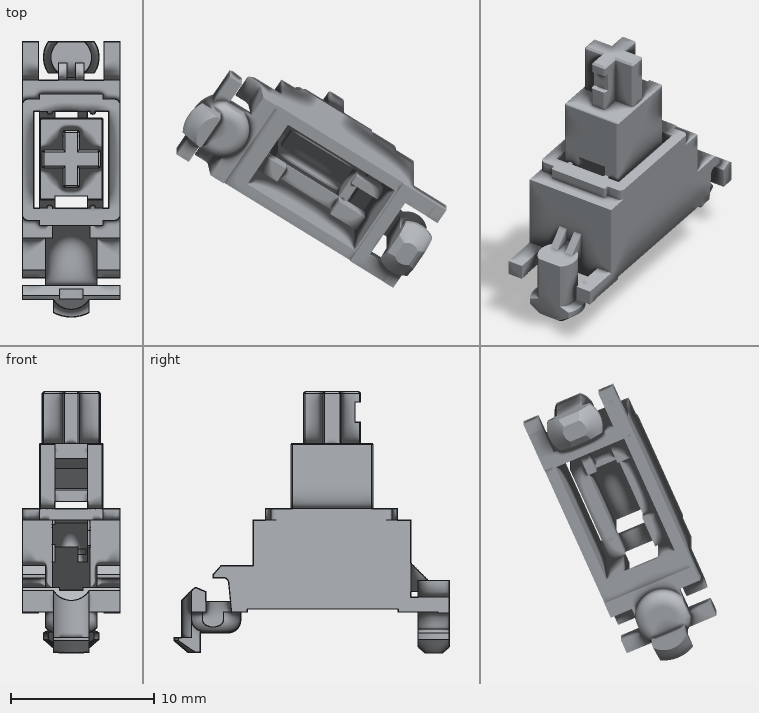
import cadquery as cq


HOUSING_HALF_WIDTH = 3.4
BODY_HALF_LENGTH = 5.5
BODY_TOP = 6.4
RIM_TOP = 7.2
BASE_RECESS = 0.2
RECESS_REAR = 4.6
RECESS_FRONT = -5.9

RIM_CENTER_Y = -0.05
RIM_HALF_LENGTH = 4.6
RIM_SHOULDER_Y = 4.22
RIM_TONGUE_HALF_WIDTH = 2.23
RIM_CORNER_RADIUS = 0.37
RIM_TONGUE_RADIUS = 0.12
OPENING_HALF_WIDTH = 2.6
OPENING_HALF_LENGTH = 3.37
NUB_RADIUS = 0.2
NUB_X = 1.49

CAVITY_HALF_LENGTH = 4.45
CAVITY_TOP = 5.9
FRONT_SLOT_HALF_WIDTH = 1.31

CLIP_INNER_X = 1.8
CLIP_TOP = 3.23
CLIP_TIP_Y = -8.28
CLIP_BEVEL_Y = -7.74
CLIP_TIP_TOP = 2.62
CLIP_UNDERSIDE = 2.38
CLIP_FILLET_OUTER_Y = -7.5
CLIP_FILLET_MIDDLE = (-7.29, 2.25)
CLIP_NECK = (-7.21, 2.02)
CLIP_FOOT_Y = -7.0

TONGUE_HALF_WIDTH = 1.8
TONGUE_TOP = 0.74
BAR_REAR_Y = -8.8
BAR_FRONT_Y = -9.8
BAR_FRONT_TOP = 1.5
BAR_REAR_TOP = 1.42
BAR_PEAK_Y = -9.52
BAR_PEAK_TOP = 1.72
BAR_NOTCH_HALF_WIDTH = 0.83
BAR_NOTCH_REAR_Y = -9.07
BAR_NOTCH_FRONT_Y = -9.75

PIN_HEAD_DIAMETER = 3.88
PIN_SHANK_DIAMETER = 2.83
PIN_CENTER_Y = 7.09
PIN_HALF_LENGTH = 1.1
PIN_TOP = 2.2
PIN_BOTTOM = -2.87
PIN_FLARE_TOP = -1.2
PIN_HEAD_TOP = -1.45
PIN_HEAD_BOTTOM = -1.9
PIN_TIP_DIAMETER = 1.64
PIN_TIP_HALF_LENGTH = 0.58
PIN_TIP_BEVEL_HEIGHT = 0.45
PIN_END_Y = PIN_CENTER_Y + PIN_HALF_LENGTH

PUCK_CENTER_Y = -8.3
PUCK_DIAMETER = 3.88
PUCK_BOTTOM = -1.46
PUCK_EDGE_RADIUS = 0.9

POST_HALF_WIDTH = 1.25
POST_REAR_Y = -9.17
POST_FRONT_Y = -10.48
POST_FRONT_RADIUS = 1.5
POST_FRONT_TOP = 0.81
POST_BOTTOM = -2.82
BARB_TIP_Y = -11.02
BARB_RADIUS = 2.6
BARB_TOP = -1.78
BARB_EDGE_BOTTOM = -2.0
BARB_FOOT_Y = -10.05

TAB_INNER_X = 2.28
TAB_TOP = 1.04
TAB_PAD_Y = 7.4
TAB_PAD_HEIGHT = 0.06

RIB_INNER_X = 0.31
RIB_OUTER_X = 0.9
RIB_BOTTOM = 1.42
RIB_RISE = 1.2
WEB_FILLET = 0.2

STEM_HALF_WIDTH = 2.23
STEM_HALF_LENGTH = 2.86
STEM_TOP = 11.76
STEM_BOTTOM = 4.54
STEM_EDGE = 0.1
STEM_TOP_EDGE = 0.07
WINDOW_HALF_WIDTH = 1.15
WINDOW_TOP = 10.7
FACE_SETBACK = 0.27
STEM_REAR_WALL_Y = 2.2
UPPER_BAR_BOTTOM = 7.69
UPPER_BAR_TOP = 8.62
RAMP_START_Y = 1.2
RAMP_TOP = 10.0
LOWER_BAR_FRONT_TOP = 6.21
LOWER_BAR_REAR_TOP = 6.5

CROSS_SPAN_X = 4.05
CROSS_SPAN_Y = 4.0
CROSS_X_ARM_THICKNESS = 1.28
CROSS_Y_ARM_THICKNESS = 1.14
CROSS_TOP = 15.38
CROSS_EDGE = 0.14
CROSS_SIDE_EDGE = 0.1
CROSS_NOTCH_BOTTOM = 13.23
CROSS_NOTCH_TOP = 14.63
CROSS_NOTCH_DEPTH = 0.39

FOOT_REACH_Y = 4.37
FOOT_INNER_X = 1.12
LOW_FOOT_BOTTOM = 3.47
LOW_FOOT_TOP = 4.69
HIGH_FOOT_BOTTOM = 4.65
HIGH_FOOT_TOP = 5.7
SMALL_FOOT_INNER_X = 0.46
SMALL_FOOT_POCKET_X = 1.04
SMALL_FOOT_POCKET_BOTTOM = 4.02
SMALL_FOOT_POCKET_TOP = 4.38
SMALL_FOOT_POCKET_DEPTH = 0.2
LEG_RELIEF_X = -1.4
LEG_RELIEF_TOP = 6.09


def block(x0, x1, y0, y1, z0, z1):
    """A box between two opposite corners."""
    return cq.Workplane("XY").box(x1 - x0, y1 - y0, z1 - z0, centered=False).translate((x0, y0, z0))


def side_plate(points, x0, x1):
    """A (Y, Z) outline extruded from x0 to x1."""
    return cq.Workplane("YZ").polyline(points).close().extrude(x1 - x0).translate((x0, 0, 0))


def mirrored_x(shape):
    """A shape joined with its mirror image on the other side of X = 0."""
    return shape.union(shape.mirror("YZ"))


def make_rim():
    """Guide collar on top of the body, with a longer middle part at each end."""
    height = RIM_TOP - BODY_TOP
    wide = (
        cq.Workplane("XY")
        .rect(2 * HOUSING_HALF_WIDTH, 2 * RIM_SHOULDER_Y)
        .extrude(height)
        .edges("|Z")
        .fillet(RIM_CORNER_RADIUS)
    )
    long = (
        cq.Workplane("XY")
        .rect(2 * RIM_TONGUE_HALF_WIDTH, 2 * RIM_HALF_LENGTH)
        .extrude(height)
        .edges("|Z")
        .fillet(RIM_TONGUE_RADIUS)
    )
    return wide.union(long).translate((0, RIM_CENTER_Y, BODY_TOP))


def make_body():
    """Hollow body, its collar, the guide opening and the open slot in the front wall."""
    body = block(
        -HOUSING_HALF_WIDTH, HOUSING_HALF_WIDTH, -BODY_HALF_LENGTH, BODY_HALF_LENGTH, BASE_RECESS, BODY_TOP
    )
    rear_foot = block(
        -HOUSING_HALF_WIDTH, HOUSING_HALF_WIDTH, RECESS_REAR, BODY_HALF_LENGTH, 0, BASE_RECESS
    )
    body = body.union(rear_foot).union(make_rim())
    opening = block(
        -OPENING_HALF_WIDTH, OPENING_HALF_WIDTH, -OPENING_HALF_LENGTH, OPENING_HALF_LENGTH, 0, RIM_TOP
    ).translate((0, RIM_CENTER_Y, 0))
    cavity = block(
        -OPENING_HALF_WIDTH, OPENING_HALF_WIDTH, -CAVITY_HALF_LENGTH, CAVITY_HALF_LENGTH, 0, CAVITY_TOP
    )
    slot = block(
        -FRONT_SLOT_HALF_WIDTH, FRONT_SLOT_HALF_WIDTH, -BODY_HALF_LENGTH, -OPENING_HALF_LENGTH, 0, BODY_TOP
    )
    body = body.cut(opening).cut(cavity).cut(slot)
    nubs = (
        cq.Workplane("XY", origin=(0, RIM_CENTER_Y, BODY_TOP))
        .rect(2 * NUB_X, 2 * OPENING_HALF_LENGTH, forConstruction=True)
        .vertices()
        .circle(NUB_RADIUS)
        .extrude(RIM_TOP - BODY_TOP)
    )
    return body.union(nubs)


def make_front_clips():
    """Two hooks that reach forward from the front wall."""
    hook = (
        cq.Workplane("YZ")
        .moveTo(-BODY_HALF_LENGTH, CLIP_TOP)
        .lineTo(CLIP_BEVEL_Y, CLIP_TOP)
        .lineTo(CLIP_TIP_Y, CLIP_TIP_TOP)
        .lineTo(CLIP_TIP_Y, CLIP_UNDERSIDE)
        .lineTo(CLIP_FILLET_OUTER_Y, CLIP_UNDERSIDE)
        .threePointArc(CLIP_FILLET_MIDDLE, CLIP_NECK)
        .lineTo(CLIP_FOOT_Y, 0)
        .lineTo(RECESS_FRONT, 0)
        .lineTo(RECESS_FRONT, BASE_RECESS)
        .lineTo(-BODY_HALF_LENGTH, BASE_RECESS)
        .close()
        .extrude(HOUSING_HALF_WIDTH - CLIP_INNER_X)
        .translate((CLIP_INNER_X, 0, 0))
    )
    return mirrored_x(hook)


def make_tongue_and_bar():
    """Flat tongue that runs forward under the slot and ends in a wide cross bar."""
    tongue = block(
        -TONGUE_HALF_WIDTH, TONGUE_HALF_WIDTH, BAR_REAR_Y, -CAVITY_HALF_LENGTH, 0, TONGUE_TOP
    )
    recess = block(
        -TONGUE_HALF_WIDTH, TONGUE_HALF_WIDTH, RECESS_FRONT, -CAVITY_HALF_LENGTH, 0, BASE_RECESS
    )
    bar = side_plate(
        [
            (BAR_REAR_Y, 0),
            (BAR_REAR_Y, BAR_REAR_TOP),
            (BAR_PEAK_Y, BAR_PEAK_TOP),
            (BAR_FRONT_Y, BAR_FRONT_TOP),
            (BAR_FRONT_Y, 0),
        ],
        -HOUSING_HALF_WIDTH,
        HOUSING_HALF_WIDTH,
    )
    notch = block(
        -BAR_NOTCH_HALF_WIDTH,
        BAR_NOTCH_HALF_WIDTH,
        BAR_NOTCH_FRONT_Y,
        BAR_NOTCH_REAR_Y,
        BAR_FRONT_TOP,
        BAR_PEAK_TOP,
    )
    return tongue.cut(recess).union(bar.cut(notch))


def front_arc_plate(rear_y, tip_y, radius, z0, z1):
    """A plate as wide as the post whose front edge is an arc through tip_y."""
    disc = cq.Workplane("XY").center(0, tip_y + radius).circle(radius).extrude(z1 - z0)
    strip = block(-POST_HALF_WIDTH, POST_HALF_WIDTH, tip_y, rear_y, 0, z1 - z0)
    return disc.intersect(strip).translate((0, 0, z0))


def make_post():
    """Barbed post in front of the bar: round front, sloped top and a tapered barb."""
    post = front_arc_plate(POST_REAR_Y, POST_FRONT_Y, POST_FRONT_RADIUS, POST_BOTTOM, BAR_FRONT_TOP)
    top_slope = side_plate(
        [
            (BAR_FRONT_Y, BAR_FRONT_TOP),
            (POST_FRONT_Y, POST_FRONT_TOP),
            (POST_FRONT_Y, BAR_FRONT_TOP),
        ],
        -POST_HALF_WIDTH,
        POST_HALF_WIDTH,
    )
    barb = front_arc_plate(POST_REAR_Y, BARB_TIP_Y, BARB_RADIUS, POST_BOTTOM, BARB_TOP)
    barb_center_y = BARB_TIP_Y + BARB_RADIUS
    cone = (
        cq.Workplane("XZ")
        .polyline(
            [
                (0, POST_BOTTOM),
                (barb_center_y - BARB_FOOT_Y, POST_BOTTOM),
                (BARB_RADIUS, BARB_EDGE_BOTTOM),
                (BARB_RADIUS, BAR_FRONT_TOP),
                (0, BAR_FRONT_TOP),
            ]
        )
        .close()
        .revolve(360, (0, 0), (0, 1))
        .translate((0, barb_center_y, 0))
    )
    return post.cut(top_slope).union(barb).intersect(cone)


def make_puck():
    """Rounded locating boss under the tongue, trimmed to the tongue's width."""
    puck = (
        cq.Workplane("XY", origin=(0, PUCK_CENTER_Y, PUCK_BOTTOM))
        .circle(PUCK_DIAMETER / 2)
        .extrude(-PUCK_BOTTOM)
        .faces("<Z")
        .edges()
        .fillet(PUCK_EDGE_RADIUS)
    )
    trim = block(
        -TONGUE_HALF_WIDTH, TONGUE_HALF_WIDTH, BAR_FRONT_Y, PUCK_CENTER_Y + PUCK_DIAMETER, PUCK_BOTTOM, 0
    )
    return puck.intersect(trim)


def make_rear_pin():
    """Snap pin behind the body: a turned shape with flat front and rear sides."""
    shank = PIN_SHANK_DIAMETER / 2
    head = PIN_HEAD_DIAMETER / 2
    pin = (
        cq.Workplane("XZ")
        .polyline(
            [
                (0, PIN_TOP),
                (shank, PIN_TOP),
                (shank, PIN_FLARE_TOP),
                (head, PIN_HEAD_TOP),
                (head, PIN_HEAD_BOTTOM),
                (PIN_TIP_DIAMETER / 2, PIN_BOTTOM),
                (0, PIN_BOTTOM),
            ]
        )
        .close()
        .revolve(360, (0, 0), (0, 1))
    )
    bevel_top = PIN_BOTTOM + PIN_TIP_BEVEL_HEIGHT
    flats = side_plate(
        [
            (-PIN_HALF_LENGTH, PIN_TOP),
            (PIN_HALF_LENGTH, PIN_TOP),
            (PIN_HALF_LENGTH, bevel_top),
            (PIN_TIP_HALF_LENGTH, PIN_BOTTOM),
            (-PIN_TIP_HALF_LENGTH, PIN_BOTTOM),
            (-PIN_HALF_LENGTH, bevel_top),
        ],
        -head,
        head,
    )
    return pin.intersect(flats).translate((0, PIN_CENTER_Y, 0))


def make_pin_bridge():
    """Web and two sloped ribs that carry the rear pin on the rear wall."""
    web = block(-RIB_OUTER_X, RIB_OUTER_X, BODY_HALF_LENGTH, PIN_CENTER_Y, RIB_BOTTOM, PIN_TOP)
    rib = side_plate(
        [
            (BODY_HALF_LENGTH, PIN_TOP),
            (BODY_HALF_LENGTH + RIB_RISE, PIN_TOP),
            (BODY_HALF_LENGTH, PIN_TOP + RIB_RISE),
        ],
        RIB_INNER_X,
        RIB_OUTER_X,
    )
    web_fillet = side_plate(
        [
            (BODY_HALF_LENGTH, PIN_TOP),
            (BODY_HALF_LENGTH + WEB_FILLET, PIN_TOP),
            (BODY_HALF_LENGTH, PIN_TOP + WEB_FILLET),
        ],
        -RIB_INNER_X,
        RIB_INNER_X,
    )
    return web.union(mirrored_x(rib)).union(web_fillet)


def make_rear_tabs():
    """Two tabs beside the rear pin, each with a thin pad under its end."""
    tab = block(TAB_INNER_X, HOUSING_HALF_WIDTH, BODY_HALF_LENGTH, PIN_END_Y, 0, TAB_TOP)
    pad = block(TAB_INNER_X, HOUSING_HALF_WIDTH, TAB_PAD_Y, PIN_END_Y, -TAB_PAD_HEIGHT, 0)
    return mirrored_x(tab.union(pad))


def make_housing():
    housing = make_body()
    for feature in (
        make_front_clips(),
        make_tongue_and_bar(),
        make_post(),
        make_puck(),
        make_rear_pin(),
        make_pin_bridge(),
        make_rear_tabs(),
    ):
        housing = housing.union(feature)
    return housing


def cross_arm(size_x, size_y, height):
    """One bar of the cross with its upright edges beveled."""
    return cq.Workplane("XY").rect(size_x, size_y).extrude(height).edges("|Z").chamfer(CROSS_SIDE_EDGE)


def make_cross():
    """Keycap cross with a notch in its rear arm."""
    height = CROSS_TOP - STEM_TOP
    cross = cross_arm(CROSS_SPAN_X, CROSS_X_ARM_THICKNESS, height)
    cross = cross.union(cross_arm(CROSS_Y_ARM_THICKNESS, CROSS_SPAN_Y, height))
    cross = cross.faces(">Z").chamfer(CROSS_EDGE).translate((0, 0, STEM_TOP))
    rear_end = CROSS_SPAN_Y / 2
    notch = block(
        -CROSS_Y_ARM_THICKNESS,
        CROSS_Y_ARM_THICKNESS,
        rear_end - CROSS_NOTCH_DEPTH,
        rear_end,
        CROSS_NOTCH_BOTTOM,
        CROSS_NOTCH_TOP,
    )
    return cross.cut(notch)


def make_upper_bar():
    """Bar across the window: flat at the front, with a ramp up to the rear wall."""
    front_y = FACE_SETBACK - STEM_HALF_LENGTH
    return side_plate(
        [
            (front_y, UPPER_BAR_BOTTOM),
            (front_y, UPPER_BAR_TOP - STEM_EDGE),
            (front_y + STEM_EDGE, UPPER_BAR_TOP),
            (RAMP_START_Y, UPPER_BAR_TOP),
            (STEM_REAR_WALL_Y, RAMP_TOP),
            (STEM_HALF_LENGTH, RAMP_TOP),
            (STEM_HALF_LENGTH, UPPER_BAR_BOTTOM),
        ],
        -WINDOW_HALF_WIDTH,
        WINDOW_HALF_WIDTH,
    )


def make_lower_bar():
    """Bar across the bottom of the rear side, with a top that rises to the rear."""
    return side_plate(
        [
            (STEM_REAR_WALL_Y, STEM_BOTTOM),
            (STEM_REAR_WALL_Y, LOWER_BAR_FRONT_TOP),
            (STEM_HALF_LENGTH, LOWER_BAR_REAR_TOP),
            (STEM_HALF_LENGTH, STEM_BOTTOM),
        ],
        -WINDOW_HALF_WIDTH,
        WINDOW_HALF_WIDTH,
    )


def make_stem_shell():
    """Stem block with a front window; the rear wall closes it behind and above the upper bar."""
    shell = (
        block(
            -STEM_HALF_WIDTH, STEM_HALF_WIDTH, -STEM_HALF_LENGTH, STEM_HALF_LENGTH, STEM_BOTTOM, STEM_TOP
        )
        .edges("|Z")
        .chamfer(STEM_EDGE)
        .faces(">Z")
        .chamfer(STEM_TOP_EDGE)
    )
    window = block(
        -WINDOW_HALF_WIDTH,
        WINDOW_HALF_WIDTH,
        -STEM_HALF_LENGTH,
        STEM_HALF_LENGTH,
        STEM_BOTTOM,
        WINDOW_TOP,
    )
    rear_wall = block(
        -WINDOW_HALF_WIDTH,
        WINDOW_HALF_WIDTH,
        STEM_REAR_WALL_Y,
        STEM_HALF_LENGTH,
        UPPER_BAR_BOTTOM,
        WINDOW_TOP,
    )
    face_setback = block(
        -WINDOW_HALF_WIDTH,
        WINDOW_HALF_WIDTH,
        -STEM_HALF_LENGTH,
        FACE_SETBACK - STEM_HALF_LENGTH,
        WINDOW_TOP,
        STEM_TOP,
    )
    left_leg_relief = block(
        LEG_RELIEF_X, -WINDOW_HALF_WIDTH, -STEM_HALF_LENGTH, STEM_REAR_WALL_Y, LOW_FOOT_TOP, LEG_RELIEF_TOP
    )
    return shell.cut(window).cut(face_setback).cut(left_leg_relief).union(rear_wall)


def make_stem_feet():
    """Stop feet at the bottom of the stem that catch under the collar."""
    inner_y = STEM_REAR_WALL_Y
    outer_x = STEM_HALF_WIDTH
    front_left = block(-outer_x, -FOOT_INNER_X, -FOOT_REACH_Y, -inner_y, LOW_FOOT_BOTTOM, LOW_FOOT_TOP)
    front_right = block(FOOT_INNER_X, outer_x, -FOOT_REACH_Y, -inner_y, HIGH_FOOT_BOTTOM, HIGH_FOOT_TOP)
    rear_left = block(-outer_x, -FOOT_INNER_X, inner_y, FOOT_REACH_Y, LOW_FOOT_BOTTOM, LOW_FOOT_TOP)
    rear_middle = block(
        SMALL_FOOT_INNER_X, FOOT_INNER_X, inner_y, FOOT_REACH_Y, LOW_FOOT_BOTTOM, LOW_FOOT_TOP
    )
    pocket = block(
        SMALL_FOOT_INNER_X,
        SMALL_FOOT_POCKET_X,
        inner_y,
        inner_y + SMALL_FOOT_POCKET_DEPTH,
        SMALL_FOOT_POCKET_BOTTOM,
        SMALL_FOOT_POCKET_TOP,
    )
    return front_left.union(front_right).union(rear_left).union(rear_middle.cut(pocket))


def make_stem():
    stem = make_stem_shell()
    for feature in (make_upper_bar(), make_lower_bar(), make_stem_feet(), make_cross()):
        stem = stem.union(feature)
    return stem


housing = make_housing()
stem = make_stem()
result = cq.Compound.makeCompound([housing.solids().val(), stem.solids().val()])